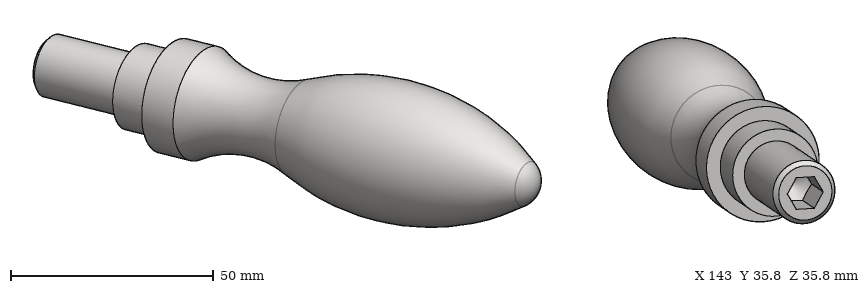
import cadquery as cq
import math

length = 143.0
stem_radius = 8.0
stem_end = 25.9
stem_chamfer = 1.1
shoulder_radius = 11.0
shoulder_end = 36.6
collar_end = 45.8
neck_x = 62.0
neck_radius = 10.0
neck_curve = 31.5
belly_radius = 17.9
belly_curve = 68.6
socket_flats = 8.0
socket_depth = 10.0
socket_tip_angle = 120.0

neck_center_r = neck_radius + neck_curve
belly_center_r = belly_radius - belly_curve
curve_sum = neck_curve + belly_curve
belly_x = neck_x + math.sqrt(curve_sum**2 - (neck_center_r - belly_center_r) ** 2)
inflection = (
    neck_x + (belly_x - neck_x) * neck_curve / curve_sum,
    neck_center_r + (belly_center_r - neck_center_r) * neck_curve / curve_sum,
)

reach = length - belly_x
tip_radius = (reach**2 + belly_center_r**2 - belly_curve**2) / (2 * (reach - belly_curve))
tip_center_x = length - tip_radius
tip_share = tip_radius / (belly_curve - tip_radius)
tip_start = (
    tip_center_x + (tip_center_x - belly_x) * tip_share,
    -belly_center_r * tip_share,
)
tip_mid_angle = math.atan2(tip_start[1], tip_start[0] - tip_center_x) / 2
tip_middle = (
    tip_center_x + tip_radius * math.cos(tip_mid_angle),
    tip_radius * math.sin(tip_mid_angle),
)

collar_radius = neck_center_r - math.sqrt(neck_curve**2 - (neck_x - collar_end) ** 2)


def make_body():
    """Turned stem, shoulder, collar and curved grip."""
    profile = (
        cq.Workplane("XY")
        .lineTo(0, stem_radius - stem_chamfer)
        .lineTo(stem_chamfer, stem_radius)
        .lineTo(stem_end, stem_radius)
        .lineTo(stem_end, shoulder_radius)
        .lineTo(shoulder_end, shoulder_radius)
        .lineTo(shoulder_end, collar_radius)
        .lineTo(collar_end, collar_radius)
        .threePointArc((neck_x, neck_radius), inflection)
        .threePointArc((belly_x, belly_radius), tip_start)
        .threePointArc(tip_middle, (length, 0))
        .close()
    )
    return profile.revolve(360, (0, 0, 0), (1, 0, 0))


def make_socket():
    """Hexagonal socket, flats facing up and down, with a conical drilled bottom."""
    across_corners = socket_flats / math.cos(math.pi / 6)
    drill_radius = across_corners / 2
    socket_end = socket_depth + drill_radius / math.tan(math.radians(socket_tip_angle / 2))
    hexagon = cq.Workplane("YZ").polygon(6, across_corners).extrude(socket_end)
    drill = (
        cq.Workplane("XY")
        .lineTo(0, drill_radius)
        .lineTo(socket_depth, drill_radius)
        .lineTo(socket_end, 0)
        .close()
        .revolve(360, (0, 0, 0), (1, 0, 0))
    )
    return hexagon.intersect(drill)


result = make_body().cut(make_socket())